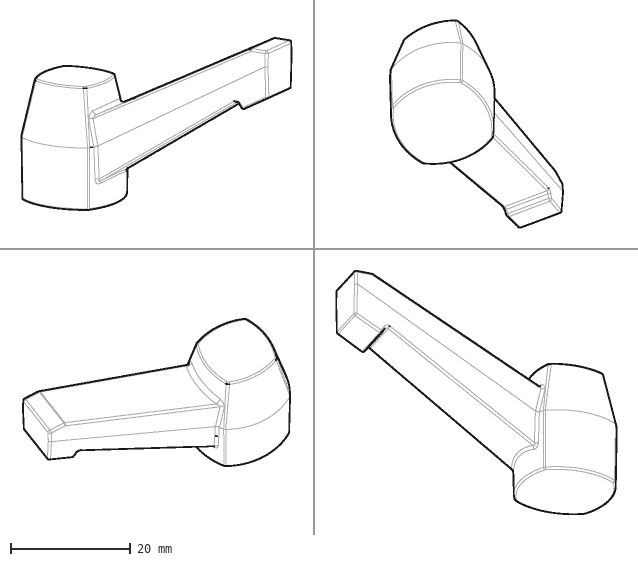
import cadquery as cq
import math

HUB_HEIGHT = 21.0
HUB_WAIST_Z = 11.0
HUB_BASE_HALF_WIDTH = 8.3
HUB_WAIST_HALF_WIDTH = 8.5
HUB_TOP_HALF_WIDTH = 5.95
HUB_SIDE_RADIUS = 12.0
HUB_CORNER_RADIUS = 0.8
HUB_RIM_RADIUS = 0.35

LEVER_START_X = 4.0
LEVER_END_X = 40.0
LEVER_TOP_Z = 32.0
TOP_FLAT_LENGTH = 3.25
TOP_SLOPE_ANGLE = 27.6
UNDERSIDE_ANGLE = 33.45
UNDERSIDE_Z_AT_AXIS = -0.15
STEP_ROOT_X = 34.2
STEP_TIP_X = 35.05
STEP_TIP_Z = 21.05
END_BOTTOM_Z = 23.75
STEP_ROOT_RADIUS = 0.4

PARTING_Z_AT_END = 29.55
AXIS_HALF_WIDTH = 5.58
END_HALF_WIDTH = 4.28
SIDE_DRAFT_ANGLE = 3.0
SECTION_HALF_DEPTH = 20.0

LEVER_EDGE_RADIUS = 0.4
JUNCTION_RADIUS = 0.7

EDGE_TOLERANCE = 0.05
JUNCTION_MARGIN = 0.15


def pillow(half_width, z):
    """Closed wire of a square with four outward-bulging sides and rounded corners."""
    side_centre = HUB_SIDE_RADIUS - half_width
    reach = HUB_SIDE_RADIUS - HUB_CORNER_RADIUS
    c = (math.sqrt(2 * reach**2 - side_centre**2) - side_centre) / 2
    near = c * HUB_SIDE_RADIUS / reach
    far = (c + side_centre) * HUB_SIDE_RADIUS / reach - side_centre
    tip = c + HUB_CORNER_RADIUS / math.sqrt(2)
    return (
        cq.Workplane("XY", origin=(0, 0, z))
        .moveTo(-near, -far)
        .threePointArc((0, -half_width), (near, -far))
        .threePointArc((tip, -tip), (far, -near))
        .threePointArc((half_width, 0), (far, near))
        .threePointArc((tip, tip), (near, far))
        .threePointArc((0, half_width), (-near, far))
        .threePointArc((-tip, tip), (-far, near))
        .threePointArc((-half_width, 0), (-far, -near))
        .threePointArc((-tip, -tip), (-near, -far))
        .close()
        .val()
    )


def make_hub():
    base = pillow(HUB_BASE_HALF_WIDTH, 0)
    waist = pillow(HUB_WAIST_HALF_WIDTH, HUB_WAIST_Z)
    top = pillow(HUB_TOP_HALF_WIDTH, HUB_HEIGHT)
    hub = cq.Workplane(cq.Solid.makeLoft([base, waist, top], True))
    return hub.faces("<Z or >Z").edges().fillet(HUB_RIM_RADIUS)


def waist_meeting_x():
    """X at which the lever's widest edge crosses the bulged side of the hub waist."""
    side_centre = HUB_SIDE_RADIUS - HUB_WAIST_HALF_WIDTH
    taper = (AXIS_HALF_WIDTH - END_HALF_WIDTH) / LEVER_END_X
    a = 1 + taper**2
    half_b = side_centre - taper * AXIS_HALF_WIDTH
    c = side_centre**2 + AXIS_HALF_WIDTH**2 - HUB_SIDE_RADIUS**2
    return (math.sqrt(half_b**2 - a * c) - half_b) / a


def parting_z(x):
    """Height of the parting line at x; it rises from the hub waist to the lever end."""
    start_x = waist_meeting_x()
    slope = (PARTING_Z_AT_END - HUB_WAIST_Z) / (LEVER_END_X - start_x)
    return HUB_WAIST_Z + (x - start_x) * slope


def lever_section(x):
    """Six-sided YZ section at x, widest at the parting line."""
    half_width = END_HALF_WIDTH + (AXIS_HALF_WIDTH - END_HALF_WIDTH) * (1 - x / LEVER_END_X)
    narrow = half_width - SECTION_HALF_DEPTH * math.tan(math.radians(SIDE_DRAFT_ANGLE))
    z = parting_z(x)
    z_high = z + SECTION_HALF_DEPTH
    z_low = z - SECTION_HALF_DEPTH
    outline = [
        (x, half_width, z),
        (x, narrow, z_high),
        (x, -narrow, z_high),
        (x, -half_width, z),
        (x, -narrow, z_low),
        (x, narrow, z_low),
    ]
    return cq.Wire.makePolygon([cq.Vector(*p) for p in outline], close=True)


def make_lever():
    top_bend_x = LEVER_END_X - TOP_FLAT_LENGTH
    top_start_z = LEVER_TOP_Z - (top_bend_x - LEVER_START_X) * math.tan(math.radians(TOP_SLOPE_ANGLE))
    underside_slope = math.tan(math.radians(UNDERSIDE_ANGLE))
    underside_start_z = UNDERSIDE_Z_AT_AXIS + LEVER_START_X * underside_slope
    step_root_z = UNDERSIDE_Z_AT_AXIS + STEP_ROOT_X * underside_slope
    profile = (
        cq.Workplane("XZ")
        .moveTo(LEVER_START_X, underside_start_z)
        .lineTo(STEP_ROOT_X, step_root_z)
        .lineTo(STEP_TIP_X, STEP_TIP_Z)
        .lineTo(LEVER_END_X, END_BOTTOM_Z)
        .lineTo(LEVER_END_X, LEVER_TOP_Z)
        .lineTo(top_bend_x, LEVER_TOP_Z)
        .lineTo(LEVER_START_X, top_start_z)
        .close()
        .extrude(AXIS_HALF_WIDTH, both=True)
    )
    sides = cq.Solid.makeLoft([lever_section(0), lever_section(LEVER_END_X)], True)
    lever = profile.intersect(cq.Workplane(sides))
    step_root = cq.selectors.NearestToPointSelector((STEP_ROOT_X, 0, step_root_z))
    lever = lever.edges("|Y").edges(step_root).fillet(STEP_ROOT_RADIUS)
    return round_lever_edges(lever)


def round_lever_edges(lever):
    """Round every lever edge except the parting lines and the buried inner end."""
    edges = []
    for edge in lever.edges().vals():
        middle = edge.positionAt(0.5)
        on_parting_line = abs(middle.z - parting_z(middle.x)) < EDGE_TOLERANCE
        at_inner_end = middle.x < LEVER_START_X + EDGE_TOLERANCE
        if not on_parting_line and not at_inner_end:
            edges.append(edge)
    return lever.newObject(edges).fillet(LEVER_EDGE_RADIUS)


def join(hub, lever):
    """Fuse lever and hub and round the inside edges where they meet."""
    body = hub.union(lever)
    edges = []
    for edge in body.edges().vals():
        middle = edge.positionAt(0.5)
        beside_lever = abs(middle.y) < AXIS_HALF_WIDTH - JUNCTION_MARGIN
        on_hub_side = HUB_TOP_HALF_WIDTH - JUNCTION_MARGIN < middle.x < HUB_WAIST_HALF_WIDTH
        clear_of_rims = 2 * HUB_RIM_RADIUS < middle.z < HUB_HEIGHT - 2 * HUB_RIM_RADIUS
        if beside_lever and on_hub_side and clear_of_rims:
            edges.append(edge)
    return body.newObject(edges).fillet(JUNCTION_RADIUS)


hub = make_hub()
lever = make_lever()
result = join(hub, lever)